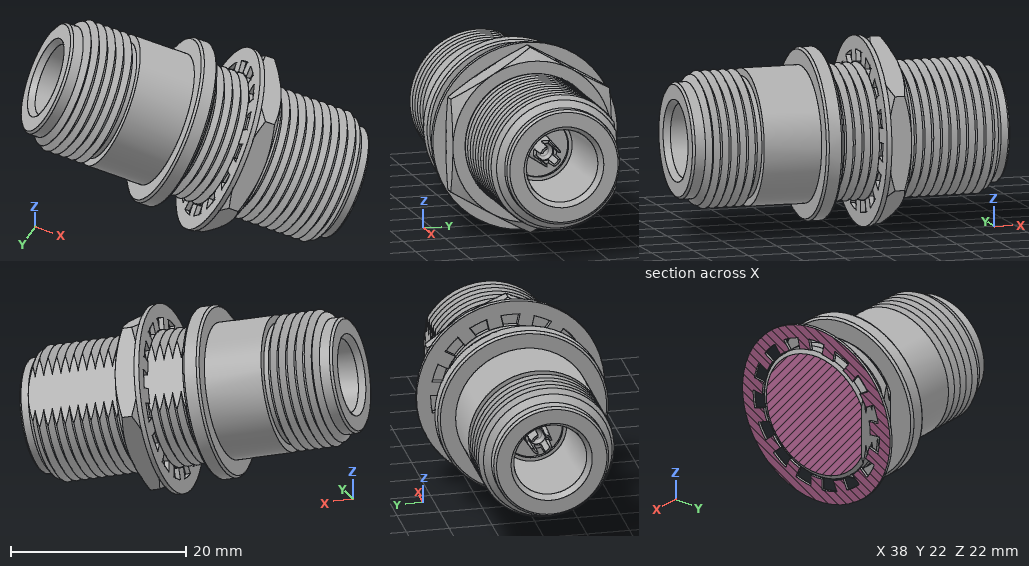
import cadquery as cq
import math


LENGTH = 38.0
THREAD_R = 7.95
RIGHT_FIRST_CREST = 17.75
RIGHT_LAST_CREST = 35.5
RIGHT_CREST_COUNT = 18
THREAD_PITCH = (RIGHT_LAST_CREST - RIGHT_FIRST_CREST) / (RIGHT_CREST_COUNT - 1)
THREAD_HEIGHT = THREAD_PITCH / 2 * math.sqrt(3)
ROOT_R = THREAD_R - THREAD_HEIGHT
NECK_R = 6.73
LEFT_NECK_LENGTH = 1.5
RIGHT_NECK_LENGTH = 1.15
NECK_CHAMFER = 0.25
LEAD_RIDGE_R = 7.52
LEFT_FIRST_CREST = 2.9
LEFT_CREST_COUNT = 5
SHOULDER_X = 8.15
FLANGE_X = 15.0
FLANGE_WIDTH = 2.0
FLANGE_R = 10.0
FLANGE_CHAMFER = 0.25
FLAT_Y = NECK_R

MOUTH_R = 4.75
MOUTH_DEPTH = 0.72
BORE_R = 4.25
BORE_END_R = 3.9
BORE_DEPTH = 9.88
RECESS_R = 3.5
RECESS_DEPTH = 0.38
CONTACT_BASE_R = 1.52
CONTACT_TIP_R = 1.25
CONTACT_TIP_DEPTH = 5.32
CONTACT_HOLE_R = 1.03
CONTACT_HOLE_DEPTH = 2.65
CONTACT_SEAT_R = 0.65
CONTACT_SEAT_LENGTH = 0.38
CONTACT_SLOT_WIDTH = 0.85
CONTACT_SLOT_DEPTH = 2.28

FIT_R = THREAD_R + 0.05
WASHER_X = 21.9
WASHER_THICKNESS = 0.57
WASHER_DIAMETER = 22.0
WASHER_R = WASHER_DIAMETER / 2
TOOTH_COUNT = 15
TOOTH_WIDTH = 1.7
TOOTH_ROOT_R = 9.35

NUT_X = WASHER_X + WASHER_THICKNESS
NUT_THICKNESS = 2.85
NUT_ACROSS_FLATS = 18.92
NUT_FACE_R = NUT_ACROSS_FLATS / 2
NUT_CHAMFER_ANGLE = 30.0


def revolve_about_x(points):
    """Revolve a closed (x, radius) outline about the X axis."""
    return cq.Workplane("XY").polyline(points).close().revolve(360, (0, 0, 0), (1, 0, 0))


def ring(x, thickness, outer_r, inner_r):
    return cq.Workplane("YZ", origin=(x, 0, 0)).circle(outer_r).circle(inner_r).extrude(thickness)


def ridges(first_crest, count):
    """Outline of full thread ridges, from the valley before the first to the one after the last."""
    points = [(first_crest - THREAD_PITCH / 2, ROOT_R)]
    for i in range(count):
        crest_x = first_crest + i * THREAD_PITCH
        points.append((crest_x, THREAD_R))
        points.append((crest_x + THREAD_PITCH / 2, ROOT_R))
    return points


def body_exterior():
    flank_slope = math.sqrt(3)
    lead_run = (LEAD_RIDGE_R - ROOT_R) / flank_slope
    left_thread = ridges(LEFT_FIRST_CREST, LEFT_CREST_COUNT)
    right_thread = ridges(RIGHT_FIRST_CREST, RIGHT_CREST_COUNT)
    left_valley_x = left_thread[0][0]
    start_valley_x = right_thread[0][0]
    right_valley_x = right_thread[-1][0]
    flange_end = FLANGE_X + FLANGE_WIDTH
    run_out_r = ROOT_R + (start_valley_x - flange_end) * flank_slope
    outline = [
        (0, 0),
        (0, NECK_R - NECK_CHAMFER),
        (NECK_CHAMFER, NECK_R),
        (LEFT_NECK_LENGTH, NECK_R),
        (left_valley_x - lead_run, LEAD_RIDGE_R),
        *left_thread,
        (SHOULDER_X, ROOT_R),
        (SHOULDER_X, THREAD_R),
        (FLANGE_X, THREAD_R),
        (FLANGE_X, FLANGE_R - FLANGE_CHAMFER),
        (FLANGE_X + FLANGE_CHAMFER, FLANGE_R),
        (flange_end - FLANGE_CHAMFER, FLANGE_R),
        (flange_end, FLANGE_R - FLANGE_CHAMFER),
        (flange_end, run_out_r),
        *right_thread,
        (right_valley_x + lead_run, LEAD_RIDGE_R),
        (LENGTH - RIGHT_NECK_LENGTH, NECK_R),
        (LENGTH - NECK_CHAMFER, NECK_R),
        (LENGTH, NECK_R - NECK_CHAMFER),
        (LENGTH, 0),
    ]
    exterior = revolve_about_x(outline)
    thread_length = LENGTH - flange_end
    flat_cutter = cq.Workplane("XY").box(
        thread_length, FLANGE_R, 2 * FLANGE_R, centered=(False, False, True)
    ).translate((flange_end, FLAT_Y, 0))
    return exterior.cut(flat_cutter)


def contact():
    """Tapered, slotted centre contact of the left socket."""
    tip = CONTACT_TIP_DEPTH
    hole_end = tip + CONTACT_HOLE_DEPTH
    seat_end = hole_end + CONTACT_SEAT_LENGTH
    drill_point = CONTACT_SEAT_R / math.sqrt(3)
    root = BORE_DEPTH + RECESS_DEPTH
    sleeve = revolve_about_x([
        (root, 0),
        (root, CONTACT_BASE_R),
        (tip, CONTACT_TIP_R),
        (tip, CONTACT_HOLE_R),
        (hole_end, CONTACT_HOLE_R),
        (seat_end, CONTACT_SEAT_R),
        (seat_end + drill_point, 0),
    ])
    slot = cq.Workplane("XY").box(
        CONTACT_SLOT_DEPTH, 2 * CONTACT_BASE_R, CONTACT_SLOT_WIDTH, centered=(False, True, True)
    ).translate((tip, 0, 0))
    for angle in (0, 90):
        sleeve = sleeve.cut(slot.rotate((0, 0, 0), (1, 0, 0), angle))
    return sleeve


def socket_cavity():
    """Empty space of the left socket, around the contact."""
    root = BORE_DEPTH + RECESS_DEPTH
    cavity = revolve_about_x([
        (0, 0),
        (0, MOUTH_R),
        (MOUTH_DEPTH, BORE_R),
        (BORE_DEPTH, BORE_END_R),
        (BORE_DEPTH, RECESS_R),
        (root, RECESS_R),
        (root, 0),
    ])
    return cavity.cut(contact())


def make_body():
    left_cavity = socket_cavity()
    right_cavity = left_cavity.mirror("YZ", (LENGTH / 2, 0, 0))
    return body_exterior().cut(left_cavity).cut(right_cavity)


def make_washer():
    rim = ring(WASHER_X, WASHER_THICKNESS, WASHER_R, TOOTH_ROOT_R)
    tooth_band = ring(WASHER_X, WASHER_THICKNESS, (WASHER_R + TOOTH_ROOT_R) / 2, FIT_R)
    tooth_bar = cq.Workplane("XY").box(
        WASHER_THICKNESS, TOOTH_WIDTH, WASHER_R, centered=(False, True, False)
    ).translate((WASHER_X, 0, 0))
    step = 360 / TOOTH_COUNT
    for i in range(TOOTH_COUNT):
        bar = tooth_bar.rotate((0, 0, 0), (1, 0, 0), (i + 0.5) * step)
        rim = rim.union(tooth_band.intersect(bar))
    return rim


def make_nut():
    corner_r = NUT_ACROSS_FLATS / math.sqrt(3)
    chamfer_run = (corner_r - NUT_FACE_R) * math.tan(math.radians(NUT_CHAMFER_ANGLE))
    nut_end = NUT_X + NUT_THICKNESS
    prism = (
        cq.Workplane("YZ", origin=(NUT_X, 0, 0))
        .transformed(rotate=(0, 0, 90))
        .polygon(6, 2 * corner_r)
        .extrude(NUT_THICKNESS)
    )
    chamfered_blank = revolve_about_x([
        (NUT_X, 0),
        (NUT_X, NUT_FACE_R),
        (NUT_X + chamfer_run, corner_r),
        (nut_end - chamfer_run, corner_r),
        (nut_end, NUT_FACE_R),
        (nut_end, 0),
    ])
    bore = cq.Workplane("YZ", origin=(NUT_X, 0, 0)).circle(FIT_R).extrude(NUT_THICKNESS)
    return prism.intersect(chamfered_blank).cut(bore)


body = make_body()
washer = make_washer()
nut = make_nut()
result = cq.Compound.makeCompound([body.solids().val(), washer.solids().val(), nut.solids().val()])